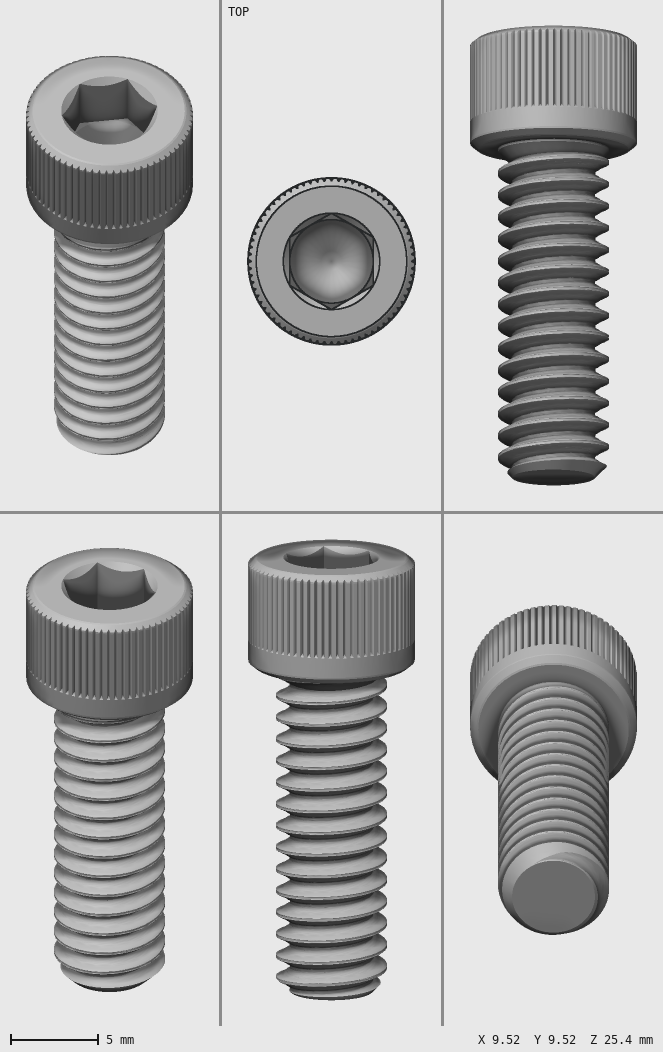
import cadquery as cq
import math


total_length = 25.4
head_height = 6.35
head_radius = 4.762
shank_length = total_length - head_height

face_radius = 4.3
rim_radius = 4.4
rim_drop = 0.05
chamfer_radius = 4.75
chamfer_height = 0.33
shoulder_height = 0.43

knurl_count = 72
knurl_depth = 0.18
knurl_width = 0.2
knurl_runout = 0.2
knurl_bottom = 20.62

hex_across_flats = 4.762
hex_depth = 3.18
hex_corner_radius = hex_across_flats / math.sqrt(3)
mouth_angle = 90.0
drill_tip_angle = 120.0

thread_radius = 3.18
thread_pitch = 1.27
root_radius = 2.4
crest_flat = thread_pitch / 8
flank_slope = math.tan(math.radians(30))
crest_height_at_x = 1.05
flank_steps = 3

point_radius = 2.35
collar_height = 0.13
runout_core_radius = 2.15

overshoot = 0.25


def cone_height(radius, tip_angle):
    """Height of a cone with the given base radius and full tip angle."""
    return radius / math.tan(math.radians(tip_angle / 2))


def polar_point(radius, angle):
    return (radius * math.cos(angle), radius * math.sin(angle))


def turn_about_axis(shape, degrees):
    return shape.rotate((0, 0, 0), (0, 0, 1), degrees)


def revolve_profile(points):
    """Solid of revolution about Z from (radius, height) points."""
    return cq.Workplane("XZ").polyline(points).close().revolve(360, (0, 0, 0), (0, 1, 0))


def downward_cone(radius, base_height, tip_angle):
    """Cone pointing down from a base circle at the given height."""
    return revolve_profile([
        (0, base_height),
        (radius, base_height),
        (0, base_height - cone_height(radius, tip_angle)),
    ])


def head_blank():
    """Plain head; its edge profile is mirrored between the seat and the top."""
    edge = [
        (0, 0),
        (face_radius, 0),
        (rim_radius, rim_drop),
        (chamfer_radius, chamfer_height),
        (head_radius, shoulder_height),
    ]
    lower = [(radius, shank_length + inset) for radius, inset in edge]
    upper = [(radius, total_length - inset) for radius, inset in reversed(edge)]
    return revolve_profile(lower + upper)


def knurl_cutter():
    """One V groove along +X whose lower end slopes out to the head surface."""
    inner = head_radius - knurl_depth
    outer = head_radius + overshoot
    enlargement = (knurl_depth + overshoot) / knurl_depth
    half_width = knurl_width / 2 * enlargement
    ramp_top = knurl_bottom + knurl_runout
    ramp_bottom = ramp_top - knurl_runout * enlargement
    top = total_length + overshoot
    groove = (
        cq.Workplane("XY", origin=(0, 0, ramp_bottom))
        .polyline([(inner, 0), (outer, half_width), (outer, -half_width)])
        .close()
        .extrude(top - ramp_bottom)
    )
    sloped_end = (
        cq.Workplane("XZ")
        .polyline([(inner, ramp_top), (outer, ramp_bottom), (outer, top), (inner, top)])
        .close()
        .extrude(half_width, both=True)
    )
    return groove.intersect(sloped_end).val()


def knurl_cutters():
    cutter = knurl_cutter()
    step = 360 / knurl_count
    return [turn_about_axis(cutter, i * step) for i in range(knurl_count)]


def hex_socket():
    """Hex pocket with corners on the Y axis, a conical mouth and a drilled tip."""
    floor = total_length - hex_depth
    pocket = (
        cq.Workplane("XY", origin=(0, 0, floor))
        .polygon(6, 2 * hex_corner_radius)
        .extrude(hex_depth)
    )
    mouth = downward_cone(hex_corner_radius, total_length, mouth_angle)
    drill_tip = downward_cone(hex_across_flats / 2, floor, drill_tip_angle)
    return turn_about_axis(pocket, 90).union(mouth).union(drill_tip)


def threaded_rod(bottom, top):
    """Stretch of thread made by twisting its cross-section one turn per pitch.

    Across the axis the thread reads as a crest arc and a root arc joined by
    two spiral flanks, since radius falls evenly with angle along a flank.
    """
    angle_per_height = 2 * math.pi / thread_pitch
    depth = thread_radius - root_radius
    crest_angle = crest_flat / 2 * angle_per_height
    root_angle = crest_angle + depth * flank_slope * angle_per_height
    flank = []
    for i in range(flank_steps + 1):
        share = i / flank_steps
        angle = root_angle + (crest_angle - root_angle) * share
        flank.append((root_radius + depth * share, angle))
    rising = [polar_point(radius, -angle) for radius, angle in flank]
    falling = [polar_point(radius, angle) for radius, angle in reversed(flank)]
    length = top - bottom
    start_angle = 360 * (bottom - crest_height_at_x) / thread_pitch
    rod = (
        cq.Workplane("XY")
        .moveTo(*rising[0])
        .spline(rising[1:], includeCurrent=True)
        .threePointArc((thread_radius, 0), falling[0])
        .spline(falling[1:], includeCurrent=True)
        .threePointArc((-root_radius, 0), rising[0])
        .close()
        .twistExtrude(length, 360 * length / thread_pitch)
    )
    return turn_about_axis(rod, start_angle).translate((0, 0, bottom))


def point_chamfer_ring():
    """Ring outside the 45 degree cone at the tip of the shank."""
    outer = thread_radius + overshoot
    return revolve_profile([
        (point_radius - overshoot, -overshoot),
        (outer, outer - point_radius),
        (outer, -overshoot),
    ])


def thread_runout():
    """Collar under the head and the 45 degree cone where the thread fades out."""
    collar_bottom = shank_length - collar_height
    cone_bottom = collar_bottom - (thread_radius - runout_core_radius)
    return revolve_profile([
        (0, cone_bottom),
        (runout_core_radius, cone_bottom),
        (thread_radius, collar_bottom),
        (thread_radius, shank_length),
        (0, shank_length),
    ])


def threaded_shank():
    """Shank in three stretches, so only the short end ones are trimmed or blended."""
    tip_top = thread_pitch
    body_top = shank_length - thread_pitch
    thread_top = shank_length - collar_height
    tip = threaded_rod(0, tip_top).cut(point_chamfer_ring(), clean=False)
    body = threaded_rod(tip_top, body_top)
    neck = threaded_rod(body_top, thread_top).union(thread_runout(), clean=False)
    return tip.union(body, clean=False).union(neck, clean=False)


socketed_head = head_blank().cut(hex_socket())
knurled_head = cq.Workplane(socketed_head.val().cut(*knurl_cutters()))
result = knurled_head.union(threaded_shank(), clean=False)